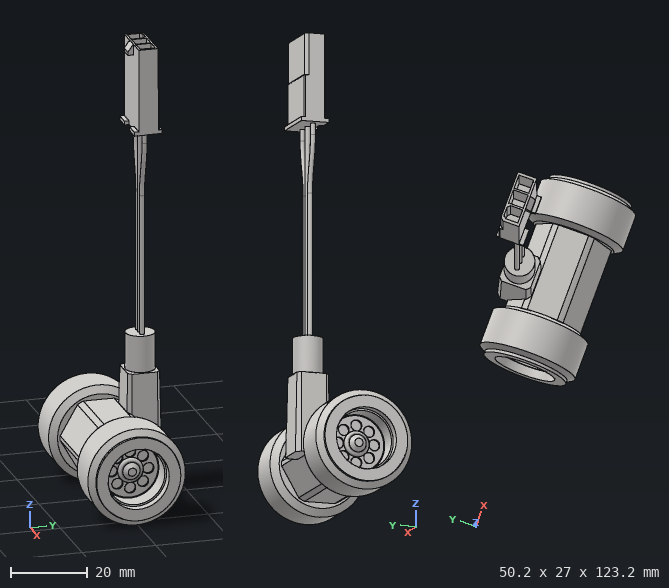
import cadquery as cq
import math


body_length = 50.2
overall_height = 123.2
body_depth = 27.0
spigot_diameter = 22.8
hex_side_apothem = 9.4
hex_half_angle = math.radians(30)
hex_top_apothem = 9.6
hex_corner_diameter = 21.0

nut_diameter = 26.5
nut_inset = 0.9
nut_width = 12.2
nut_outer_chamfer = 1.1
nut_inner_chamfer = 1.2
nut_inner_face_diameter = 22.3

entry_diameter = 16.5
entry_depth = 2.5
bore_diameter = 15.5
bore_depth = 7.9
insert_diameter = 15.0

flow_hole_count = 8
flow_hole_diameter = 3.0
flow_hole_circle = 9.9
flow_hole_depth = 0.6
hub_diameter = 6.9
hub_height = 1.0
hub_round = 0.9
nose_diameter = 4.7
nose_height = 1.0
nose_tip_diameter = 2.2

sensor_x = -4.4
wire_y = 9.0
block_front_y = 4.1
block_width = 10.2
block_bottom_z = -1.2
block_top_z = 20.1
block_draft = 1.3
block_corner = 1.2
stub_diameter = 8.0
stub_top_z = 30.1

plug_top_z = overall_height - nut_diameter / 2
plug_height = 23.5
plug_width = 13.7
plug_front_y = 6.7
plug_back_y = 12.0
pad_thickness = 0.4
key_height = 11.2
key_chamfer = 0.9
flange_front_y = 5.4
flange_back_y = 13.0
flange_thickness = 1.1
flange_gap = 4.5
latch_width = 3.5
latch_reach = 1.5
latch_ramp = 2.1
latch_height = 3.0
pocket_width = 3.7
pocket_pitch = 4.2
pocket_front_y = 7.3
pocket_back_y = 11.3
pocket_corner = 0.7
pocket_depth = key_height

wire_diameter = 1.4
wire_spacing = 1.8
bend_bottom_z = 68.3
bend_top_z = 83.4

half_length = body_length / 2
block_back_y = body_depth - nut_diameter / 2
insert_half_length = half_length - bore_depth
plug_bottom_z = plug_top_z - plug_height
wire_slots = (-1, 0, 1)


def x_cylinder(diameter, x_start, x_end):
    """Cylinder on the flow axis between two X positions."""
    return cq.Workplane("YZ", origin=(x_start, 0, 0)).circle(diameter / 2).extrude(x_end - x_start)


def box_between(x_centre, width, y_front, y_back, z_bottom, z_top):
    """Box centred on x_centre, between Y and Z limits."""
    return (
        cq.Workplane("XY", origin=(x_centre, (y_front + y_back) / 2, z_bottom))
        .rect(width, y_back - y_front)
        .extrude(z_top - z_bottom)
    )


def make_hexagon():
    """Middle section with side corners at Z = 0, and top and bottom flats slightly farther out."""
    side_corner_y = hex_side_apothem / math.cos(hex_half_angle)
    top_corner_y = side_corner_y - hex_top_apothem * math.tan(hex_half_angle)
    hexagon = (
        cq.Workplane("YZ")
        .polyline([
            (side_corner_y, 0),
            (top_corner_y, hex_top_apothem),
            (-top_corner_y, hex_top_apothem),
            (-side_corner_y, 0),
            (-top_corner_y, -hex_top_apothem),
            (top_corner_y, -hex_top_apothem),
        ])
        .close()
        .extrude(half_length - nut_inset, both=True)
    )
    return hexagon.intersect(x_cylinder(hex_corner_diameter, -half_length, half_length))


def make_end():
    """Spigot and chamfered nut at the -X end, turned about the flow axis."""
    spigot_radius = spigot_diameter / 2
    nut_radius = nut_diameter / 2
    nut_start = nut_inset - half_length
    nut_end = nut_start + nut_width
    profile = [
        (-half_length, 0),
        (-half_length, spigot_radius),
        (nut_start, spigot_radius),
        (nut_start + nut_outer_chamfer, nut_radius),
        (nut_end - nut_inner_chamfer, nut_radius),
        (nut_end, nut_inner_face_diameter / 2),
        (nut_end, 0),
    ]
    return cq.Workplane("XY").polyline(profile).close().revolve(360, (0, 0, 0), (1, 0, 0))


def make_sensor():
    """Drafted block beside the pipe, with the round stub that the wires leave from."""
    depth = block_back_y - block_front_y
    block = (
        cq.Workplane("XY", origin=(sensor_x, block_front_y + depth / 2, block_bottom_z))
        .sketch()
        .rect(block_width, depth)
        .vertices()
        .chamfer(block_corner)
        .finalize()
        .extrude(block_top_z - block_bottom_z, taper=block_draft)
    )
    stub = (
        cq.Workplane("XY", origin=(sensor_x, wire_y, block_top_z))
        .circle(stub_diameter / 2)
        .extrude(stub_top_z - block_top_z)
    )
    return block.union(stub)


def make_wire(slot):
    """One wire: straight out of the stub, an S-bend outward, and straight into the plug."""
    stub_x = sensor_x + slot * wire_spacing
    plug_x = sensor_x + slot * pocket_pitch
    path = cq.Workplane("XZ", origin=(0, wire_y, 0)).moveTo(stub_x, stub_top_z)
    if slot == 0:
        path = path.lineTo(plug_x, plug_bottom_z)
    else:
        path = (
            path.lineTo(stub_x, bend_bottom_z)
            .spline([(plug_x, bend_top_z)], tangents=[(0, 1), (0, 1)], includeCurrent=True)
            .lineTo(plug_x, plug_bottom_z)
        )
    section = cq.Workplane("XY", origin=(stub_x, wire_y, stub_top_z)).circle(wire_diameter / 2)
    return section.sweep(path)


def make_plug_shell():
    """Outside of the plug: keyed upper part, thicker lower back, and flange gapped at the front."""
    key_end_z = plug_top_z - key_height
    key = box_between(sensor_x, plug_width, plug_front_y, plug_back_y, key_end_z, plug_top_z)
    key = key.edges("|Z and >Y and <X").chamfer(key_chamfer)
    pad_back_y = plug_back_y + pad_thickness
    base = box_between(sensor_x, plug_width, plug_front_y, pad_back_y, plug_bottom_z, key_end_z)
    base = base.edges("|Z and >Y").chamfer(pad_thickness)
    flange_top_z = plug_bottom_z + flange_thickness
    flange = box_between(
        sensor_x, plug_width, flange_front_y, flange_back_y, plug_bottom_z, flange_top_z
    )
    gap = box_between(
        sensor_x, flange_gap, flange_front_y, plug_front_y, plug_bottom_z, flange_top_z
    )
    return key.union(base).union(flange.cut(gap))


def make_latch():
    """Ramped catch at the top of the plug's front."""
    tip_y = plug_front_y - latch_reach
    return (
        cq.Workplane("YZ", origin=(sensor_x, 0, 0))
        .polyline([
            (plug_front_y, plug_top_z),
            (tip_y, plug_top_z - latch_ramp),
            (tip_y, plug_top_z - latch_height),
            (plug_front_y, plug_top_z - latch_height),
        ])
        .close()
        .extrude(latch_width / 2, both=True)
    )


def make_pocket(slot):
    """Contact pocket, open at the top; the first one has its back corners cut off."""
    pocket = box_between(
        sensor_x + slot * pocket_pitch,
        pocket_width,
        pocket_front_y,
        pocket_back_y,
        plug_top_z - pocket_depth,
        plug_top_z,
    )
    if slot == wire_slots[0]:
        pocket = pocket.edges("|Z and >Y").chamfer(pocket_corner)
    return pocket


def make_bore():
    """Stepped bore, the same from both ends, with a seat for the insert in the middle."""
    bore = x_cylinder(insert_diameter, -insert_half_length, insert_half_length)
    for end in (-1, 1):
        face_x = end * half_length
        bore = bore.union(x_cylinder(bore_diameter, end * insert_half_length, face_x))
        bore = bore.union(x_cylinder(entry_diameter, face_x - end * entry_depth, face_x))
    return bore


def make_housing():
    """Pipe body, nuts, sensor, wires and plug, all one solid."""
    end = make_end()
    housing = make_hexagon().union(end).union(end.mirror("YZ")).union(make_sensor())
    housing = housing.cut(make_bore())
    plug = make_plug_shell().union(make_latch())
    for slot in wire_slots:
        plug = plug.cut(make_pocket(slot))
    housing = housing.union(plug)
    for slot in wire_slots:
        housing = housing.union(make_wire(slot))
    return housing


def make_hub():
    """Round-edged hub with a conical nose on the -X face of the insert."""
    face_x = -insert_half_length
    hub_x = face_x - hub_height
    hub = x_cylinder(hub_diameter, hub_x, face_x).faces("<X").edges().fillet(hub_round)
    nose = (
        cq.Workplane("YZ", origin=(hub_x, 0, 0))
        .circle(nose_diameter / 2)
        .workplane(offset=-nose_height)
        .circle(nose_tip_diameter / 2)
        .loft()
    )
    return hub.union(nose)


def make_insert():
    """Flow insert: a plug with a ring of blind holes and a hub at each end."""
    insert = x_cylinder(insert_diameter, -insert_half_length, insert_half_length)
    for side in ("<X", ">X"):
        insert = (
            insert.faces(side)
            .workplane(centerOption="CenterOfMass")
            .polarArray(flow_hole_circle / 2, 0, 360, flow_hole_count)
            .hole(flow_hole_diameter, flow_hole_depth)
        )
    hub = make_hub()
    return insert.union(hub).union(hub.mirror("YZ"))


housing = make_housing()
insert = make_insert()
result = cq.Compound.makeCompound([*housing.solids().vals(), *insert.solids().vals()])